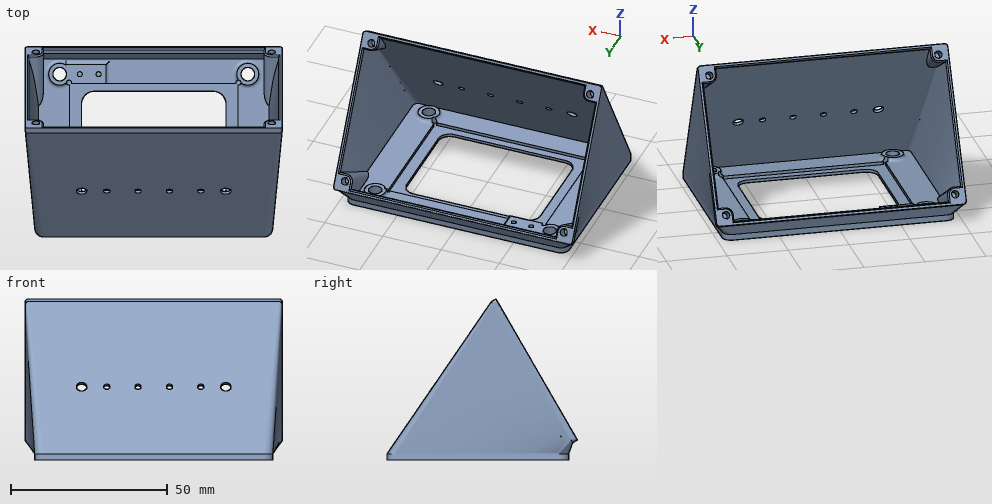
import cadquery as cq
import math

BASE_WIDTH = 76.0
BASE_DEPTH = 58.0
BASE_HEIGHT = 2.0
BASE_CORNER_RADIUS = 3.0

TOTAL_DEPTH = 60.78
TOTAL_HEIGHT = 51.41
FRAME_TILT = math.radians(60)
FRAME_WIDTH = 82.0
FRAME_LENGTH = 52.0
FRAME_THICKNESS = 1.75
FRAME_CORNER_RADIUS = 1.0

WALL = 1.2
RIM_CHAMFER = 0.45
INNER_FRAME_CORNER_RADIUS = 0.3

POST_EDGE_OFFSET = 3.4
POST_RADIUS = 2.4
POST_HOLE_DIAMETER = 2.35
POST_HOLE_DEPTH = 4.0

FRONT_HOLE_HEIGHT = 23.4
SMALL_HOLE_DIAMETER = 2.0
SMALL_HOLE_X = (-15.0, -5.0, 5.0, 15.0)
LARGE_HOLE_DIAMETER = 3.3
LARGE_HOLE_X = (-23.0, 23.0)
DRILL_REACH = 3 * WALL

WINDOW_WIDTH = 46.0
WINDOW_DEPTH = 35.0
WINDOW_CORNER_RADIUS = 4.0
POCKET_WIDTH = 53.6
POCKET_DEPTH = 40.2
POCKET_RECESS = 1.0
RELIEF_DIAMETER = 1.6
RELIEF_OFFSET = 0.2
BOSS_X = 30.0
BOSS_Y = 23.0
BOSS_DIAMETER = 7.0
BOSS_HEIGHT = 1.3
BOSS_HOLE_DIAMETER = 4.25
BLOCK_LEFT = -28.0
BLOCK_RIGHT = -13.9
BLOCK_BACK = 27.35
BLOCK_HOLE_DIAMETER = 1.6
BLOCK_HOLE_DEPTH = 2.5
BLOCK_HOLE_X = (-23.6, -17.6)

FRAME_FOOT_Y = TOTAL_DEPTH - BASE_DEPTH / 2
FRAME_MIDDLE_Y = FRAME_FOOT_Y - FRAME_LENGTH / 2 * math.cos(FRAME_TILT)
FRAME_MIDDLE_Z = TOTAL_HEIGHT - FRAME_LENGTH / 2 * math.sin(FRAME_TILT)
FRAME_PLANE = cq.Plane(
    origin=(0, FRAME_MIDDLE_Y, FRAME_MIDDLE_Z),
    xDir=(1, 0, 0),
    normal=(0, math.sin(FRAME_TILT), math.cos(FRAME_TILT)),
)
POST_X = FRAME_WIDTH / 2 - POST_EDGE_OFFSET
POST_V = FRAME_LENGTH / 2 - POST_EDGE_OFFSET
POST_POINTS = [(sx * POST_X, sv * POST_V) for sx in (-1, 1) for sv in (-1, 1)]
BOSS_POINTS = [(sx * BOSS_X, sy * BOSS_Y) for sx in (-1, 1) for sy in (-1, 1)]
RELIEF_POINTS = [
    (sx * (POCKET_WIDTH / 2 + RELIEF_OFFSET), sy * (POCKET_DEPTH / 2 + RELIEF_OFFSET))
    for sx in (-1, 1)
    for sy in (-1, 1)
]


def rounded_rectangle(width, height, radius):
    return cq.Sketch().rect(width, height).vertices().fillet(radius)


def slab(plane, width, height, radius, thickness):
    return cq.Workplane(plane).placeSketch(rounded_rectangle(width, height, radius)).extrude(thickness)


def hopper(inset, frame_radius):
    """Ruled body between the base outline and the tilted frame, both moved in by the inset."""
    lower = rounded_rectangle(
        BASE_WIDTH - 2 * inset, BASE_DEPTH - 2 * inset, BASE_CORNER_RADIUS - inset
    )
    upper = rounded_rectangle(FRAME_WIDTH - 2 * inset, FRAME_LENGTH - 2 * inset, frame_radius)
    frame_back = FRAME_PLANE.location * cq.Location(cq.Vector(0, 0, -FRAME_THICKNESS))
    floor = cq.Location(cq.Vector(0, 0, BASE_HEIGHT))
    return cq.Workplane().placeSketch(lower.moved(floor), upper.moved(frame_back)).loft(ruled=True)


def make_outside():
    base = slab(cq.Plane.XY(), BASE_WIDTH, BASE_DEPTH, BASE_CORNER_RADIUS, BASE_HEIGHT)
    frame = slab(FRAME_PLANE, FRAME_WIDTH, FRAME_LENGTH, FRAME_CORNER_RADIUS, -FRAME_THICKNESS)
    return base.union(hopper(0, FRAME_CORNER_RADIUS)).union(frame)


def make_posts():
    """Four corner posts reaching from the frame edges to a round nose about each screw."""
    post_side = 2 * (POST_EDGE_OFFSET + POST_RADIUS)
    return (
        cq.Workplane(FRAME_PLANE)
        .rect(FRAME_WIDTH, FRAME_LENGTH, forConstruction=True)
        .vertices()
        .rect(post_side, post_side)
        .extrude(-TOTAL_DEPTH)
        .edges(cq.selectors.ParallelDirSelector(FRAME_PLANE.zDir))
        .fillet(POST_RADIUS)
    )


def make_cavity():
    opening = slab(
        FRAME_PLANE,
        FRAME_WIDTH - 2 * WALL,
        FRAME_LENGTH - 2 * WALL,
        INNER_FRAME_CORNER_RADIUS,
        -FRAME_THICKNESS,
    )
    return hopper(WALL, INNER_FRAME_CORNER_RADIUS).union(opening).cut(make_posts())


def make_shell():
    """Hollow body with the edge of its tilted opening bevelled."""
    shell = make_outside().cut(make_cavity())
    rim = shell.faces(cq.selectors.DirectionMinMaxSelector(FRAME_PLANE.zDir))
    opening_edges = rim.val().innerWires()[0].Edges()
    return shell.newObject(opening_edges).chamfer(RIM_CHAMFER)


def make_post_holes():
    return (
        cq.Workplane(FRAME_PLANE)
        .pushPoints(POST_POINTS)
        .circle(POST_HOLE_DIAMETER / 2)
        .extrude(-POST_HOLE_DEPTH)
    )


def make_front_holes():
    """Row of drills square to the sloping front wall."""
    wall_bottom = cq.Vector(0, -BASE_DEPTH / 2, BASE_HEIGHT)
    wall_top = FRAME_PLANE.toWorldCoords((0, -FRAME_LENGTH / 2, -FRAME_THICKNESS))
    up_wall = (wall_top - wall_bottom).normalized()
    row = wall_bottom + up_wall * ((FRONT_HOLE_HEIGHT - BASE_HEIGHT) / up_wall.z)
    plane = cq.Plane(origin=row.toTuple(), xDir=(1, 0, 0), normal=(0, -up_wall.z, up_wall.y))
    hole_sets = ((SMALL_HOLE_DIAMETER, SMALL_HOLE_X), (LARGE_HOLE_DIAMETER, LARGE_HOLE_X))
    drills = cq.Workplane(plane)
    for diameter, places in hole_sets:
        points = [(x, 0) for x in places]
        drill = cq.Workplane(plane).pushPoints(points).circle(diameter / 2)
        drills = drills.add(drill.extrude(DRILL_REACH, both=True))
    return drills.combine()


def make_bosses():
    """Round bosses that flare out to the floor with a concave foot."""
    top_radius = BOSS_DIAMETER / 2
    foot_radius = top_radius + BOSS_HEIGHT
    arc_sag = BOSS_HEIGHT * (1 - math.sqrt(0.5))
    profile = (
        cq.Workplane("XZ")
        .lineTo(foot_radius, 0)
        .threePointArc((top_radius + arc_sag, arc_sag), (top_radius, BOSS_HEIGHT))
        .lineTo(0, BOSS_HEIGHT)
        .close()
    )
    boss = profile.revolve(360, (0, 0, 0), (0, 1, 0))
    bosses = cq.Workplane()
    for x, y in BOSS_POINTS:
        bosses = bosses.add(boss.translate((x, y, BASE_HEIGHT)))
    return bosses.combine()


def make_block():
    """Clamp block beside the left boss, hollowed to a concave foot at its back and right sides."""
    front = POCKET_DEPTH / 2
    width = BLOCK_RIGHT - BLOCK_LEFT
    depth = BLOCK_BACK - front
    block = cq.Workplane().box(width, depth, BOSS_HEIGHT, centered=False)
    back_hollow = cq.Workplane("YZ").center(depth, BOSS_HEIGHT).circle(BOSS_HEIGHT).extrude(width)
    side_hollow = cq.Workplane("XZ").center(width, BOSS_HEIGHT).circle(BOSS_HEIGHT).extrude(-depth)
    return block.cut(back_hollow).cut(side_hollow).translate((BLOCK_LEFT, front, BASE_HEIGHT))


def make_floor_cuts():
    """Window, shallow pocket with corner reliefs, and the screw holes in bosses and block."""
    raised_top = BASE_HEIGHT + BOSS_HEIGHT
    pocket_level = cq.Workplane(origin=(0, 0, BASE_HEIGHT - POCKET_RECESS))
    pocket = pocket_level.rect(POCKET_WIDTH, POCKET_DEPTH).extrude(POCKET_RECESS + BOSS_HEIGHT)
    reliefs = (
        pocket_level.pushPoints(RELIEF_POINTS)
        .circle(RELIEF_DIAMETER / 2)
        .extrude(POCKET_RECESS + BOSS_HEIGHT)
    )
    window = slab(cq.Plane.XY(), WINDOW_WIDTH, WINDOW_DEPTH, WINDOW_CORNER_RADIUS, BASE_HEIGHT)
    boss_holes = (
        cq.Workplane().pushPoints(BOSS_POINTS).circle(BOSS_HOLE_DIAMETER / 2).extrude(raised_top)
    )
    block_holes = (
        cq.Workplane(origin=(0, 0, raised_top))
        .pushPoints([(x, BOSS_Y) for x in BLOCK_HOLE_X])
        .circle(BLOCK_HOLE_DIAMETER / 2)
        .extrude(-BLOCK_HOLE_DEPTH)
    )
    return pocket.union(reliefs).union(window).union(boss_holes).union(block_holes)


result = (
    make_shell()
    .union(make_bosses())
    .union(make_block())
    .cut(make_floor_cuts())
    .cut(make_post_holes())
    .cut(make_front_holes())
)